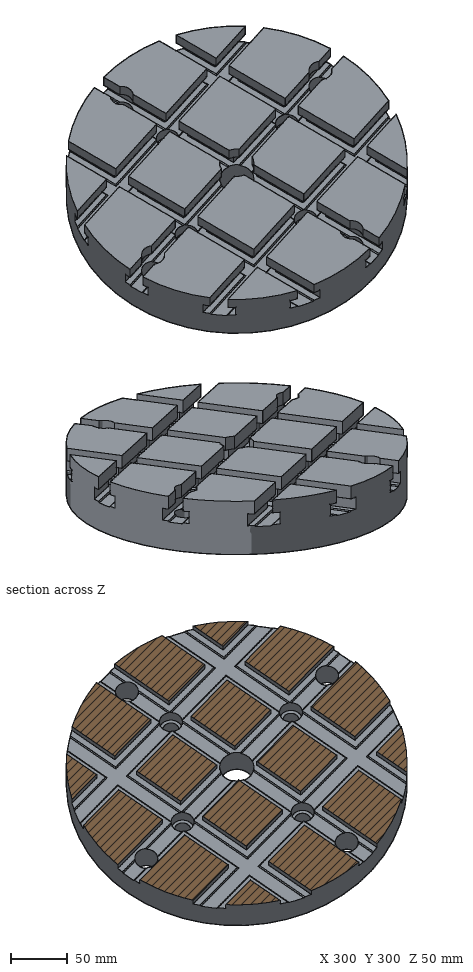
import cadquery as cq

disc_diameter = 300
disc_height = 50.0

slot_pitch = disc_diameter / 4
slot_offsets = (-slot_pitch, 0, slot_pitch)
slot_depth = 24
neck_depth = 12
head_width = 25.0

relief_depth = 1.0
relief_bottom_width = 12
neck_width = relief_bottom_width + 2 * relief_depth

center_hole_diameter = 30
mount_hole_diameter = 20.0
mount_hole_radius = 125.0
bolt_hole_diameter = 14.0
counterbore_diameter = mount_hole_diameter
counterbore_depth = 36


def axis_points(radius):
    """Four points on the X and Y axes at the given distance from the center."""
    return [(radius, 0), (0, radius), (-radius, 0), (0, -radius)]


def t_slot(offset):
    """T-slot cutter running along Y across the whole disc, shifted in X by the offset."""
    neck_bottom = disc_height - neck_depth
    slot_bottom = disc_height - slot_depth
    head_floor = slot_bottom + relief_depth
    right_half = [
        (neck_width / 2, disc_height),
        (neck_width / 2, neck_bottom),
        (head_width / 2, neck_bottom),
        (head_width / 2, head_floor),
        (neck_width / 2, head_floor),
        (relief_bottom_width / 2, slot_bottom),
    ]
    left_half = [(-x, z) for x, z in reversed(right_half)]
    return (
        cq.Workplane("XZ")
        .polyline(right_half + left_half)
        .close()
        .extrude(disc_diameter / 2, both=True)
        .translate((offset, 0, 0))
    )


result = (
    cq.Workplane("XY")
    .circle(disc_diameter / 2)
    .extrude(disc_height)
    .faces(">Z")
    .workplane(origin=(0, 0, disc_height))
    .tag("top")
    .hole(center_hole_diameter)
    .workplaneFromTagged("top")
    .pushPoints(axis_points(mount_hole_radius))
    .hole(mount_hole_diameter)
    .workplaneFromTagged("top")
    .pushPoints(axis_points(slot_pitch))
    .cboreHole(bolt_hole_diameter, counterbore_diameter, counterbore_depth)
)

for slot_offset in slot_offsets:
    slot = t_slot(slot_offset)
    crossing_slot = slot.rotate((0, 0, 0), (0, 0, 1), 90)
    result = result.cut(slot).cut(crossing_slot)